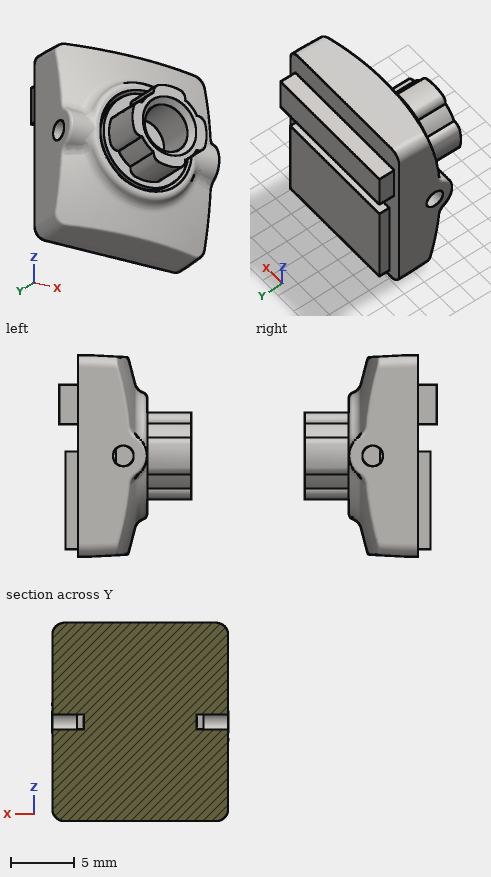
import cadquery as cq
import math


WIDTH = 14.0
HEIGHT = 16.0
CORNER_RADIUS = 1.0
BAND_DEPTH = 1.0
DRAFT_ANGLE = 3.0
FRONT_EDGE_RADIUS = 0.25

DOME_RADIUS = 26.0
DOME_APEX = 5.17
DOME_EXTENT = 13.0
RING_FACE = 5.5
RING_FACE_RADIUS = 4.56
RING_EDGE_RADIUS = 0.5
RING_FOOT_RADIUS = 1.0

BOSS_RADIUS = 1.87
BOSS_AXIS = 3.6
BOSS_FOOT_RADIUS = 0.95
BOSS_OVERHANG = 1.0
PIN_HOLE_RADIUS = 0.82
PIN_HOLE_DEPTH = 2.0
PIN_STEP = 3.02
PIN_CORE_RADIUS = 4.5

GROOVE_OUTER_RADIUS = 4.29
GROOVE_FLOOR_RADIUS = 3.97
GROOVE_DEPTH = 0.5

BARREL_FACE = 9.0
BARREL_CORE_RADIUS = 2.97
LOBE_TIP_RADIUS = 3.47
LOBE_WIDTH = 2.96
LOBE_CORNER_RADIUS = 0.7
BORE_RADIUS = 2.0
BORE_DEPTH = 4.0
BORE_CHAMFER = 0.5

UPPER_BLOCK_WIDTH = 12.75
LOWER_BLOCK_WIDTH = 11.5
UPPER_BLOCK_BOTTOM = 2.5
UPPER_BLOCK_TOP = 5.65
UPPER_BLOCK_THICKNESS = 1.5
LOWER_BLOCK_BOTTOM = -7.42
LOWER_BLOCK_TOP = 0.36
LOWER_BLOCK_THICKNESS = 1.0


def disc(radius, start, end):
    """Cylinder about the Y axis between two distances in front of the back face."""
    return cq.Workplane("XZ", origin=(0, -start, 0)).circle(radius).extrude(end - start)


def make_block():
    """Rounded block whose top and bottom walls lean inward beyond the back band."""
    half = HEIGHT / 2
    depth = RING_FACE + FRONT_EDGE_RADIUS
    front_half = half - (depth - BAND_DEPTH) * math.tan(math.radians(DRAFT_ANGLE))
    outline = [
        (0, -half), (-BAND_DEPTH, -half), (-depth, -front_half),
        (-depth, front_half), (-BAND_DEPTH, half), (0, half),
    ]
    block = cq.Workplane("YZ").polyline(outline).close().extrude(WIDTH / 2, both=True)
    corner_edges = block.faces("<X or >X").edges("not (<Y or >Y)")
    return block.newObject(corner_edges.vals()).fillet(CORNER_RADIUS)


def point_at(centre, radius, angle):
    """Point of an arc in the XY plane; the centre is (X, distance in front of the back face)."""
    return (centre[0] + radius * math.cos(angle), -(centre[1] + radius * math.sin(angle)))


def make_cover():
    """Dome with the rounded ring on it, a solid of revolution about the Y axis."""
    edge_centre = (RING_FACE_RADIUS, RING_FACE - RING_EDGE_RADIUS)
    dome_centre = (0, DOME_APEX - DOME_RADIUS)

    to_edge = RING_EDGE_RADIUS + RING_FOOT_RADIUS
    to_dome = DOME_RADIUS + RING_FOOT_RADIUS
    rise = edge_centre[1] - dome_centre[1]
    span = math.hypot(edge_centre[0], rise)
    dome_corner = math.acos((span**2 + to_dome**2 - to_edge**2) / (2 * span * to_dome))
    foot_angle = math.atan2(rise, edge_centre[0]) - dome_corner
    foot_centre = (to_dome * math.cos(foot_angle), dome_centre[1] + to_dome * math.sin(foot_angle))
    wall_angle = math.atan2(foot_centre[1] - edge_centre[1], foot_centre[0] - edge_centre[0])
    rim_angle = math.acos(DOME_EXTENT / DOME_RADIUS)

    edge_mid = point_at(edge_centre, RING_EDGE_RADIUS, (wall_angle + math.pi / 2) / 2)
    edge_end = point_at(edge_centre, RING_EDGE_RADIUS, wall_angle)
    foot_mid = point_at(foot_centre, RING_FOOT_RADIUS, (wall_angle + foot_angle) / 2 + math.pi)
    foot_end = point_at(dome_centre, DOME_RADIUS, foot_angle)
    dome_mid = point_at(dome_centre, DOME_RADIUS, (foot_angle + rim_angle) / 2)
    dome_end = point_at(dome_centre, DOME_RADIUS, rim_angle)
    profile = (
        cq.Workplane("XY")
        .lineTo(0, -RING_FACE)
        .lineTo(RING_FACE_RADIUS, -RING_FACE)
        .threePointArc(edge_mid, edge_end)
        .threePointArc(foot_mid, foot_end)
        .threePointArc(dome_mid, dome_end)
        .lineTo(DOME_EXTENT, 0)
        .close()
    )
    cover = profile.revolve(360, (0, 0, 0), (0, 1, 0))
    return cover.rotate((0, 0, 0), (0, 1, 0), 90)


def is_front_rim(point):
    """True for a point close to the side walls and well ahead of the back band."""
    near_side = abs(point.x) > (WIDTH - CORNER_RADIUS) / 2
    near_end = abs(point.z) > (HEIGHT - CORNER_RADIUS) / 2
    return point.y < -2 * BAND_DEPTH and (near_side or near_end)


def make_housing():
    """Cover and side bosses blended together, then trimmed to the block."""
    boss_reach = WIDTH / 2 + BOSS_OVERHANG
    bosses = (
        cq.Workplane("YZ").center(-BOSS_AXIS, 0).circle(BOSS_RADIUS)
        .extrude(boss_reach, both=True)
    )
    front = make_cover().union(bosses)
    foot_edges = [
        edge for edge in front.edges("%BSPLINE").vals()
        if abs(edge.Center().x) > GROOVE_OUTER_RADIUS
    ]
    front = front.newObject(foot_edges).fillet(BOSS_FOOT_RADIUS)
    housing = front.intersect(make_block())
    rim_edges = [
        edge for edge in housing.edges("not %LINE").vals() if is_front_rim(edge.Center())
    ]
    return housing.newObject(rim_edges).fillet(FRONT_EDGE_RADIUS)


def cone_cut(mouth_radius, floor_radius, face, depth):
    """Cone about the Y axis that narrows backward from a front face."""
    return (
        cq.Workplane("XZ", origin=(0, -face, 0)).circle(mouth_radius)
        .workplane(offset=-depth).circle(floor_radius).loft()
    )


def make_groove():
    """V groove around the barrel with a sloping outer wall and a straight inner wall."""
    cone = cone_cut(GROOVE_OUTER_RADIUS, GROOVE_FLOOR_RADIUS, RING_FACE, GROOVE_DEPTH)
    return cone.cut(disc(GROOVE_FLOOR_RADIUS, BOSS_AXIS, RING_FACE))


def make_barrel():
    """Solid lens barrel with four round-cornered lobes, rooted inside the housing."""
    barrel = disc(BARREL_CORE_RADIUS, BOSS_AXIS, BARREL_FACE)
    lobe_bar = (
        cq.Workplane("XZ", origin=(0, -BOSS_AXIS, 0)).rect(LOBE_WIDTH, 2 * BARREL_FACE)
        .extrude(BARREL_FACE - BOSS_AXIS)
    )
    lobe_pair = disc(LOBE_TIP_RADIUS, BOSS_AXIS, BARREL_FACE).intersect(lobe_bar)
    lobe_pair = lobe_pair.edges("|Y").fillet(LOBE_CORNER_RADIUS)
    for angle in (0, 90):
        barrel = barrel.union(lobe_pair.rotate((0, 0, 0), (0, 1, 0), angle))
    return barrel


def make_bore():
    """Blind bore of the barrel with its chamfered mouth."""
    mouth = cone_cut(BORE_RADIUS + BORE_CHAMFER, BORE_RADIUS, BARREL_FACE, BORE_CHAMFER)
    return disc(BORE_RADIUS, BARREL_FACE - BORE_DEPTH, BARREL_FACE).union(mouth)


def make_pin_holes():
    """Blind holes along the boss axis; their rear part runs deeper, onto a round core."""
    holes = (
        cq.Workplane("YZ").center(-BOSS_AXIS, 0).circle(PIN_HOLE_RADIUS)
        .extrude(WIDTH / 2, both=True)
    )
    end_block_depth = RING_FACE - PIN_STEP
    end_block = cq.Workplane("XY").box(WIDTH - 2 * PIN_HOLE_DEPTH, end_block_depth, HEIGHT)
    end_block = end_block.translate((0, -(RING_FACE + PIN_STEP) / 2, 0))
    core = disc(PIN_CORE_RADIUS, 0, RING_FACE).rotate((0, 0, 0), (0, 1, 0), 180)
    return holes.cut(end_block).cut(core)


def make_back_block(width, bottom, top, thickness):
    """Rectangular block standing on the back face."""
    block = cq.Workplane("XY").box(width, thickness, top - bottom)
    return block.translate((0, thickness / 2, (bottom + top) / 2))


upper_block = make_back_block(
    UPPER_BLOCK_WIDTH, UPPER_BLOCK_BOTTOM, UPPER_BLOCK_TOP, UPPER_BLOCK_THICKNESS
)
lower_block = make_back_block(
    LOWER_BLOCK_WIDTH, LOWER_BLOCK_BOTTOM, LOWER_BLOCK_TOP, LOWER_BLOCK_THICKNESS
)

result = (
    make_housing()
    .cut(make_groove())
    .union(make_barrel())
    .cut(make_bore())
    .cut(make_pin_holes())
    .union(upper_block)
    .union(lower_block)
)